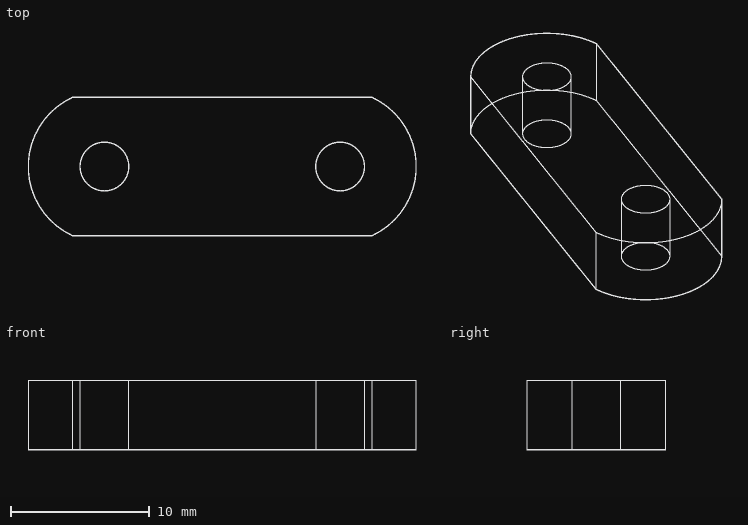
import cadquery as cq
import math

length = 28.0
width = 10.0
thickness = 5.0
hole_spacing = 17.0
hole_diameter = 3.5

end_radius = (length - hole_spacing) / 2
half_length = length / 2
half_width = width / 2

corner_x = hole_spacing / 2 + math.sqrt(end_radius**2 - half_width**2)

body = (
    cq.Workplane("XY")
    .moveTo(-corner_x, -half_width)
    .lineTo(corner_x, -half_width)
    .threePointArc((half_length, 0), (corner_x, half_width))
    .lineTo(-corner_x, half_width)
    .threePointArc((-half_length, 0), (-corner_x, -half_width))
    .close()
    .extrude(thickness)
)

result = (
    body.faces(">Z")
    .workplane(origin=(0, 0, thickness))
    .pushPoints([(-hole_spacing / 2, 0), (hole_spacing / 2, 0)])
    .hole(hole_diameter)
)